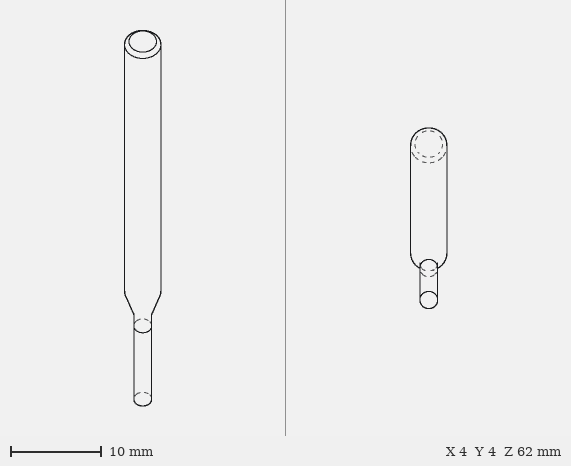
import cadquery as cq

TOTAL_LENGTH = 62.0
SHANK_DIAMETER = 4.0
CUTTER_DIAMETER = 2.0
TAPER_END_DIAMETER = 2.05

POINT_HEIGHT = 0.3
JOINT_HEIGHT = 12.95
NECK_TOP = 15.0
TAPER_BOTTOM = 15.2
TAPER_TOP = 18.9

CHAMFER_SIZE = 0.5

SHANK_RADIUS = SHANK_DIAMETER / 2
CUTTER_RADIUS = CUTTER_DIAMETER / 2
TAPER_END_RADIUS = TAPER_END_DIAMETER / 2


def revolve_profile(points):
    """Turn a closed (radius, height) outline around the Z axis."""
    return cq.Workplane("XZ").polyline(points).close().revolve(360, (0, 0), (0, 1))


def make_shank():
    """Chamfered shank with a taper and a small bevel leading down to a short neck."""
    return revolve_profile([
        (0, JOINT_HEIGHT),
        (CUTTER_RADIUS, JOINT_HEIGHT),
        (CUTTER_RADIUS, NECK_TOP),
        (TAPER_END_RADIUS, TAPER_BOTTOM),
        (SHANK_RADIUS, TAPER_TOP),
        (SHANK_RADIUS, TOTAL_LENGTH - CHAMFER_SIZE),
        (SHANK_RADIUS - CHAMFER_SIZE, TOTAL_LENGTH),
        (0, TOTAL_LENGTH),
    ])


def make_cutter():
    """Slim cylinder with a shallow conical point, butted against the neck."""
    return revolve_profile([
        (0, 0),
        (CUTTER_RADIUS, POINT_HEIGHT),
        (CUTTER_RADIUS, JOINT_HEIGHT),
        (0, JOINT_HEIGHT),
    ])


shank = make_shank()
cutter = make_cutter()

result = cq.Compound.makeCompound([shank.val(), cutter.val()])